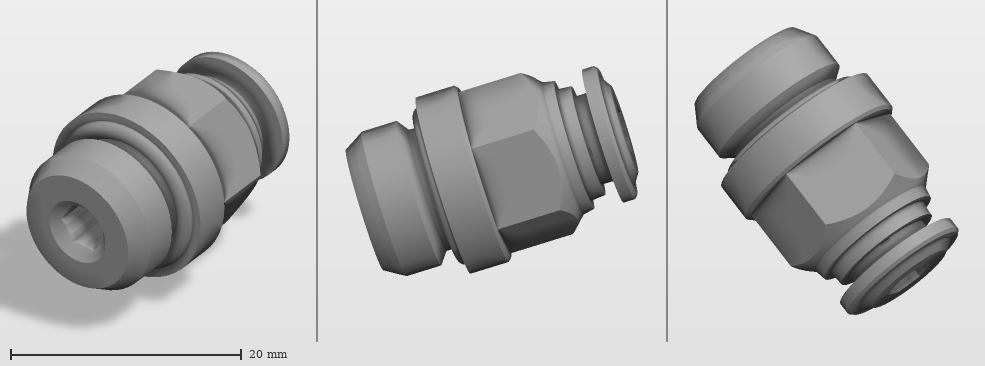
import cadquery as cq
import math

total_length = 23.6

thread_radius = 6.55
relief_radius = 5.5
thread_tip_length = 1.77
thread_end = 4.9
undercut_start = 5.7

flange_radius = 8.0
flange_start = 7.13
flange_end = 10.88
flange_chamfer = 0.28
seal_section_radius = 0.85
seal_center_radius = relief_radius + seal_section_radius
seal_center_y = 7.25

hex_across_flats = 13.0
hex_across_corners = hex_across_flats / math.cos(math.pi / 6)
shoulder_base_radius = 6.0
shoulder_base = 18.03
shoulder_top_radius = 5.8
shoulder_top = 19.02
bevel_start = shoulder_base - (hex_across_corners / 2 - shoulder_base_radius)

collar_base_radius = 5.05
collar_top_radius = 4.93
collar_top = 20.32
neck_radius = 4.0
neck_fillet = 0.5
ring_radius = 6.05
ring_start = 21.65
ring_end = 22.96
ring_chamfer = 0.28
ring_crown_radius = 4.95

slot_width = 0.97
slot_depth = 0.35
slot_length = 0.25
slot_turn = 3.0

key_across_flats = 4.0
key_across_corners = key_across_flats / math.cos(math.pi / 6)
pilot_radius = 2.05
mouth_radius = 3.02
mouth_end_radius = 1.98
mouth_depth = mouth_radius - mouth_end_radius


def revolve_profile(points):
    """Revolve a (radius, y) outline, closed along the axis, about Y."""
    axis_points = [(0, points[0][1])] + points + [(0, points[-1][1])]
    return cq.Workplane("XY").polyline(axis_points).close().revolve(360, (0, 0, 0), (0, 1, 0))


def hex_prism(across_corners, start, end):
    """Hexagonal prism along Y with corners on the X axis."""
    plane = cq.Workplane("XZ", origin=(0, start, 0))
    return plane.polygon(6, across_corners).extrude(start - end)


def make_threaded_end():
    return revolve_profile([
        (relief_radius, 0),
        (thread_radius, thread_tip_length),
        (thread_radius, thread_end),
        (relief_radius, undercut_start),
        (relief_radius, flange_start),
        (flange_radius, flange_start),
        (flange_radius, flange_end - flange_chamfer),
        (flange_radius - flange_chamfer, flange_end),
    ])


def make_seal():
    section = cq.Workplane("XY").center(seal_center_radius, seal_center_y).circle(seal_section_radius)
    return section.revolve(360, (-seal_center_radius, 0, 0), (-seal_center_radius, 1, 0))


def make_hex_body():
    envelope = revolve_profile([
        (hex_across_corners / 2, flange_end),
        (hex_across_corners / 2, bevel_start),
        (shoulder_base_radius, shoulder_base),
        (shoulder_top_radius, shoulder_top),
    ])
    return hex_prism(hex_across_corners, flange_end, shoulder_top).intersect(envelope)


def make_collar():
    return revolve_profile([
        (collar_base_radius, shoulder_top),
        (collar_top_radius, collar_top),
    ])


def make_release_ring():
    fillet_start = ring_start - neck_fillet
    fillet_offset = neck_fillet * (1 - math.sqrt(0.5))
    outline = (
        cq.Workplane("XY")
        .moveTo(0, collar_top)
        .lineTo(neck_radius, collar_top)
        .lineTo(neck_radius, fillet_start)
        .threePointArc(
            (neck_radius + fillet_offset, ring_start - fillet_offset),
            (neck_radius + neck_fillet, ring_start),
        )
        .lineTo(ring_radius, ring_start)
        .lineTo(ring_radius, ring_end - ring_chamfer)
        .lineTo(ring_radius - ring_chamfer, ring_end)
        .lineTo(ring_crown_radius, ring_end)
        .lineTo(neck_radius, total_length)
        .lineTo(0, total_length)
        .close()
    )
    ring = outline.revolve(360, (0, 0, 0), (0, 1, 0))
    for angle in (slot_turn, slot_turn + 180):
        slot = cq.Workplane("XY").box(slot_width, slot_length, 2 * slot_depth)
        slot = slot.translate((0, collar_top + slot_length / 2, neck_radius))
        ring = ring.cut(slot.rotate((0, 0, 0), (0, 1, 0), angle))
    return ring


def make_passage():
    pilot = revolve_profile([(pilot_radius, 0), (pilot_radius, total_length)])
    mouth = revolve_profile([(mouth_radius, 0), (mouth_end_radius, mouth_depth)])
    return hex_prism(key_across_corners, 0, total_length).union(pilot).union(mouth)


body = make_threaded_end()
for section in (make_seal(), make_hex_body(), make_collar(), make_release_ring()):
    body = body.union(section)
result = body.cut(make_passage())